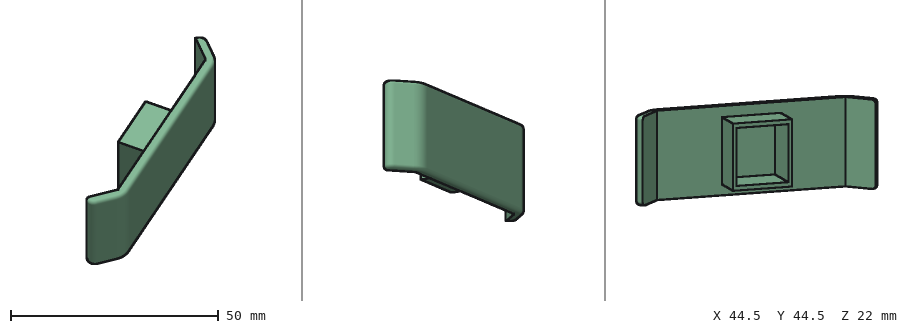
import cadquery as cq
import math

side = 44.5
height = 22.0
wall = 2.5
tab_length = 8.0
bend_radius = 5.0
tip_radius = 2.0
edge_radius = 1.0

boss_length = 15.05
boss_height = 16.5
boss_depth = 8.0
mouth_length = 13.15
mouth_height = 14.25
floor_length = 12.0
floor_height = 13.55

outer_bend = tab_length + wall * math.tan(math.pi / 8)
inner_corner = (tab_length, -wall)


def across(point):
    """Mirror a plan point about the bracket's symmetry line."""
    x, y = point
    return (side + y, x - side)


def nearest(point, z=0):
    """Select the edge whose centre is closest to a plan point at height z."""
    return cq.selectors.NearestToPointSelector((*point, z))


def make_plate():
    """Bent plate with rounded bends, tab ends and outer edges."""
    tip_inner = (0, -wall)
    tip_outer = (0, 0)
    bend = (outer_bend, 0)
    outline = [tip_inner, tip_outer, bend, across(bend), across(tip_outer), across(tip_inner),
               across(inner_corner), inner_corner]
    plate = cq.Workplane("XY").polyline(outline).close().extrude(height / 2, both=True)

    for corner, radius in ((bend, bend_radius), (tip_outer, tip_radius)):
        for point in (corner, across(corner)):
            plate = plate.edges(nearest(point)).fillet(radius)

    middle = (side / 2 + outer_bend / 2, outer_bend / 2 - side / 2)
    for z in (-height / 2, height / 2):
        plate = plate.edges(nearest(middle, z)).fillet(edge_radius)
    return plate


def inner_face_plane():
    """Plane on the sloping inner face: local X runs along the slope, the normal away from the plate."""
    corner_x, corner_y = inner_corner
    mirror_x, mirror_y = across(inner_corner)
    centre = ((corner_x + mirror_x) / 2, (corner_y + mirror_y) / 2, 0)
    return cq.Plane(origin=centre, xDir=(1, -1, 0), normal=(-1, -1, 0))


def make_boss():
    return cq.Workplane(inner_face_plane()).rect(boss_length, boss_height).extrude(boss_depth)


def make_pocket():
    """Tapered pocket, widest at the boss face."""
    return (
        cq.Workplane(inner_face_plane())
        .rect(floor_length, floor_height)
        .workplane(offset=boss_depth)
        .rect(mouth_length, mouth_height)
        .loft(ruled=True)
    )


result = make_plate().union(make_boss()).cut(make_pocket())